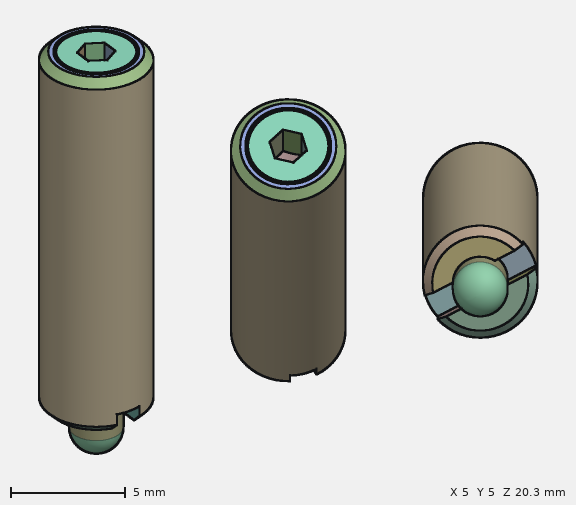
import cadquery as cq
import math

total_length = 20.3
body_diameter = 5.0
pin_diameter = 2.4
pin_protrusion = 2.3

chamfer_size = 0.4
slot_width = 1.2
slot_depth = 0.93
groove_outer_radius = 1.87
groove_inner_radius = 1.75
groove_depth = 0.06

socket_across_flats = 1.45
socket_depth = 2.03
drill_point_angle = 120.0

pin_seat_depth = 4.05

body_radius = body_diameter / 2
pin_radius = pin_diameter / 2
housing_length = total_length - pin_protrusion
pin_top = pin_protrusion + pin_seat_depth


def make_socket_cutter():
    """Hexagon with corners on the X axis, ending in a drill point."""
    corner_radius = socket_across_flats / math.sqrt(3)
    point_height = corner_radius / math.tan(math.radians(drill_point_angle / 2))
    shoulder = total_length - socket_depth
    point = shoulder - point_height
    hexagon = (
        cq.Workplane("XY", origin=(0, 0, point))
        .polygon(6, 2 * corner_radius)
        .extrude(total_length - point)
    )
    drill = (
        cq.Workplane("XZ")
        .moveTo(0, point)
        .lineTo(corner_radius, shoulder)
        .lineTo(corner_radius, total_length)
        .lineTo(0, total_length)
        .close()
        .revolve(360, (0, 0, 0), (0, 1, 0))
    )
    return hexagon.intersect(drill)


def make_groove_cutter():
    """Shallow V-shaped ring around the socket in the top face."""
    groove_middle_radius = (groove_outer_radius + groove_inner_radius) / 2
    return (
        cq.Workplane("XZ")
        .moveTo(groove_inner_radius, total_length)
        .lineTo(groove_middle_radius, total_length - groove_depth)
        .lineTo(groove_outer_radius, total_length)
        .close()
        .revolve(360, (0, 0, 0), (0, 1, 0))
    )


def make_slot_cutter():
    """Screwdriver slot across the lower end, along X."""
    return cq.Workplane("XY", origin=(0, 0, pin_protrusion)).box(
        body_diameter, slot_width, slot_depth, centered=(True, True, False)
    )


def make_housing():
    """Chamfered cylinder with a blind pin hole, slot, groove and socket."""
    cylinder = (
        cq.Workplane("XY", origin=(0, 0, pin_protrusion))
        .circle(body_radius)
        .extrude(housing_length)
        .faces("<Z or >Z")
        .chamfer(chamfer_size)
    )
    pin_hole = (
        cq.Workplane("XY", origin=(0, 0, pin_protrusion))
        .circle(pin_radius)
        .extrude(pin_seat_depth)
    )
    return (
        cylinder.cut(pin_hole)
        .cut(make_slot_cutter())
        .cut(make_groove_cutter())
        .cut(make_socket_cutter())
    )


def make_pin():
    """Round pin with a hemispherical tip."""
    arc_offset = pin_radius * math.sqrt(0.5)
    return (
        cq.Workplane("XZ")
        .threePointArc((arc_offset, pin_radius - arc_offset), (pin_radius, pin_radius))
        .lineTo(pin_radius, pin_top)
        .lineTo(0, pin_top)
        .close()
        .revolve(360, (0, 0, 0), (0, 1, 0))
    )


housing = make_housing()
pin = make_pin()
result = cq.Compound.makeCompound([housing.val(), pin.val()])